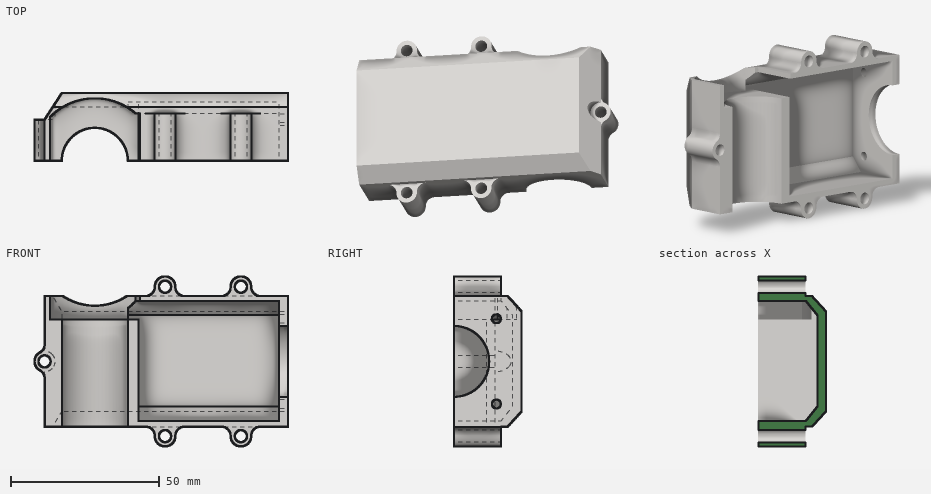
import cadquery as cq
import math


body_length = 82.2
body_depth = 22.95
half_height = 22.1
back_chamfer_height = 5.2
back_chamfer_depth = 4.8
left_slope_run = 5.8
left_slope_start = 14.0

cavity_left = 31.8
cavity_floor = 19.9
cavity_top = 20.4
cavity_bottom = -20.0
cavity_side_depth = 16.0
cavity_chamfer_height = 4.8
end_wall = 3.1
cavity_right = body_length - end_wall

bore_x = 16.95
bore_radius = 11.1
seat_radius = 21.15
seat_floor = 14.1
seat_left = 1.9
seat_right = 32.2

opening_radius = 12.0
wall_hole_diameter = 3.0
wall_hole_offset = 14.4

lug_radius = 3.5
lug_fillet = 3.0
lug_hole_diameter = 4.0
lug_xs = (40.7, 66.3)
lug_z = 57.5 / 2 - lug_radius
left_lug_radius = 85.6 - body_length


def box(x0, x1, y0, y1, z0, z1):
    """Box between two opposite corners."""
    return cq.Workplane("XY").box(x1 - x0, y1 - y0, z1 - z0, centered=False).translate((x0, y0, z0))


def extrude_along_x(points, x0, x1):
    """Prism from x0 to x1 with a profile of (y, z) points."""
    return cq.Workplane("YZ", origin=(x0, 0, 0)).polyline(points).close().extrude(x1 - x0)


def rod_along_y(x, z, radius, y0, y1):
    """Cylinder parallel to Y."""
    return cq.Workplane("XZ", origin=(x, y0, z)).circle(radius).extrude(y0 - y1)


def make_body():
    shoulder = body_depth - back_chamfer_depth
    flat = half_height - back_chamfer_height
    profile = [
        (0, -half_height), (shoulder, -half_height), (body_depth, -flat),
        (body_depth, flat), (shoulder, half_height), (0, half_height),
    ]
    slope = (
        cq.Workplane("XY", origin=(0, 0, -half_height))
        .polyline([(0, left_slope_start), (left_slope_run, body_depth), (0, body_depth)])
        .close().extrude(2 * half_height)
    )
    return extrude_along_x(profile, 0, body_length).cut(slope)


def make_side_lug(x, side):
    """Lug on the top (side = 1) or bottom (side = -1), with concave fillets at its root."""
    foot = lug_radius + lug_fillet
    sink = half_height - 0.85
    diagonal = lug_fillet * (1 - math.sqrt(0.5))
    shoulder = half_height + lug_fillet
    lug = (
        cq.Workplane("XZ")
        .moveTo(x - foot, side * sink)
        .lineTo(x - foot, side * half_height)
        .threePointArc((x - lug_radius - diagonal, side * (half_height + diagonal)),
                       (x - lug_radius, side * shoulder))
        .lineTo(x - lug_radius, side * lug_z)
        .threePointArc((x, side * (lug_z + lug_radius)), (x + lug_radius, side * lug_z))
        .lineTo(x + lug_radius, side * shoulder)
        .threePointArc((x + lug_radius + diagonal, side * (half_height + diagonal)),
                       (x + foot, side * half_height))
        .lineTo(x + foot, side * sink)
        .close().extrude(-cavity_side_depth)
    )
    return lug


def make_left_lug():
    """Round lug centred on the left face, blended into it by tangent fillets."""
    reach = left_lug_radius + lug_fillet
    foot = math.sqrt(reach**2 - lug_fillet**2)
    touch_x = -lug_fillet * left_lug_radius / reach
    touch_z = foot * left_lug_radius / reach
    half_angle = math.atan2(foot, lug_fillet) / 2
    mid_x = -lug_fillet + lug_fillet * math.cos(half_angle)
    mid_z = foot - lug_fillet * math.sin(half_angle)
    return (
        cq.Workplane("XZ")
        .moveTo(0, -foot)
        .threePointArc((mid_x, -mid_z), (touch_x, -touch_z))
        .threePointArc((-left_lug_radius, 0), (touch_x, touch_z))
        .threePointArc((mid_x, mid_z), (0, foot))
        .close().extrude(-left_slope_start)
    )


def make_cavity():
    """Main pocket, whose floor runs on above the bore block as far as the bore edge."""
    profile = [
        (0, cavity_bottom), (cavity_side_depth, cavity_bottom),
        (cavity_floor, cavity_bottom + cavity_chamfer_height),
        (cavity_floor, cavity_top - cavity_chamfer_height),
        (cavity_side_depth, cavity_top), (0, cavity_top),
    ]
    pocket = extrude_along_x(profile, bore_x + bore_radius, cavity_right)
    bore_block = box(0, cavity_left, 0, body_depth, -half_height, seat_floor)
    return pocket.cut(bore_block)


def make_seat():
    """Round seat open at the top, with flat left and right sides."""
    height = half_height - seat_floor
    cylinder = cq.Workplane("XY", origin=(bore_x, 0, seat_floor)).circle(seat_radius).extrude(height)
    seat = cylinder.intersect(box(seat_left, seat_right, 0, body_depth, seat_floor, half_height))
    right_side = box(bore_x, seat_right, 0, cavity_side_depth, seat_floor, half_height)
    return seat.union(right_side)


result = make_body().union(make_left_lug())
for lug_x in lug_xs:
    for lug_side in (1, -1):
        result = result.union(make_side_lug(lug_x, lug_side))

result = result.cut(make_cavity()).cut(make_seat())

bore = cq.Workplane("XY", origin=(bore_x, 0, -half_height)).circle(bore_radius).extrude(2 * half_height)
result = result.cut(bore)

hole_places = [(0, 0)] + [(x, side * lug_z) for x in lug_xs for side in (1, -1)]
for hole_x, hole_z in hole_places:
    result = result.cut(rod_along_y(hole_x, hole_z, lug_hole_diameter / 2, 0, body_depth))
result = result.cut(rod_along_y(0, 0, lug_radius, left_slope_start, body_depth))

end_plane = cq.Workplane("YZ", origin=(cavity_right, 0, 0))
result = result.cut(end_plane.circle(opening_radius).extrude(end_wall))
wall_hole_points = [(wall_hole_offset, side * wall_hole_offset) for side in (1, -1)]
wall_holes = end_plane.pushPoints(wall_hole_points).circle(wall_hole_diameter / 2).extrude(end_wall)
result = result.cut(wall_holes)